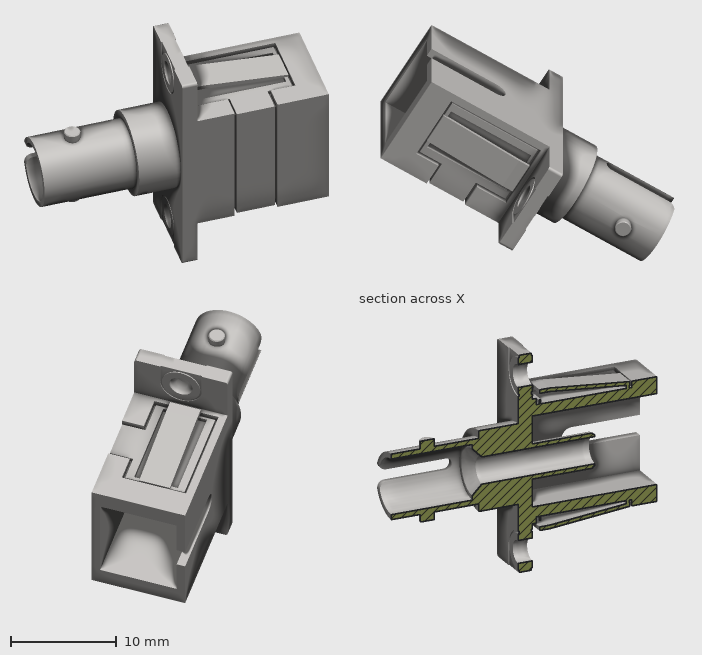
import cadquery as cq


total_length = 27.7
width = 9.28
flange_height = 22.24

collar_front = 9.1
flange_front = 13.2
flange_back = 14.7

flange_corner_radius = 0.28
mount_spacing = 17.97
mount_hole_diameter = 2.3
seat_width = 4.13
seat_depth = 0.097
seat_ring_diameter = 3.8

collar_diameter = 8.3
barrel_diameter = 6.75
bore_diameter = 5.65
bore_depth = 8.45
through_hole_diameter = 2.75
cone_diameter = 4.75
cone_depth = 1.0

keyway_width = 1.25
keyway_length = 7.61
keyway_mouth_radius = 0.78

pin_diameter = 1.55
pin_position = 3.77
pin_chamfer = 0.08

body_height = 12.8
cavity_width = 7.6
cavity_height = 9.25
key_slot_width = 2.08
key_slot_length = 8.17
sleeve_diameter = 3.65
sleeve_end = 21.25
sleeve_chamfer = 0.3

recess_left = -3.88
recess_right = 2.5
recess_front = 15.15
recess_back = 25.05
band_front = 18.4
band_back = 22.62
recess_depth = 0.65
band_depth = 0.5

clip_gap = 0.25
clip_thickness = 0.42
window_left = -2.88
window_right = 1.47
window_front = 15.62
window_back = 24.48
finger_left = -2.22
finger_right = 0.83
finger_tip = 15.45
finger_knee = 16.55
finger_root = 24.9
finger_rise = 0.817

body_top = body_height / 2
body_side = width / 2


def block(x_range, y_range, z_range):
    """Box given by its lower and upper limit along each axis."""
    (x0, x1), (y0, y1), (z0, z1) = x_range, y_range, z_range
    return cq.Workplane("XY").box(x1 - x0, y1 - y0, z1 - z0, centered=False).translate((x0, y0, z0))


def centred_block(x_size, y_range, z_size):
    """Box centred on the barrel axis."""
    return block((-x_size / 2, x_size / 2), y_range, (-z_size / 2, z_size / 2))


def rod(diameter, y_start, y_end, z=0):
    """Round bar parallel to the barrel axis."""
    bar = cq.Workplane("XZ").circle(diameter / 2).extrude(y_start - y_end)
    return bar.translate((0, y_start, z))


def add_mirrored(shape):
    """The shape together with its copy on the -Z side."""
    return shape.union(shape.mirror("XY"))


def mount_seat():
    """Mounting hole inside a raised ring, with a shallow U-shaped recess round the ring on each face."""
    hole_z = mount_spacing / 2
    top = flange_height / 2
    front_range = (flange_front, flange_front + seat_depth)
    back_range = (flange_back - seat_depth, flange_back)
    seat = cq.Workplane("XY")
    for y_range in (front_range, back_range):
        seat = seat.union(rod(seat_width, *y_range, z=hole_z))
        seat = seat.union(block((-seat_width / 2, seat_width / 2), y_range, (hole_z, top)))
    seat = seat.cut(rod(seat_ring_diameter, flange_front, flange_back, hole_z))
    return seat.union(rod(mount_hole_diameter, flange_front, flange_back, hole_z))


def flange():
    plate = centred_block(width, (flange_front, flange_back), flange_height)
    plate = plate.edges("|Y").fillet(flange_corner_radius)
    return plate.cut(add_mirrored(mount_seat()))


def keyway():
    """Slot with a round inner end and a mouth that flares out at the barrel tip."""
    half = keyway_width / 2
    flare = half + keyway_mouth_radius
    return (
        cq.Workplane("YZ")
        .moveTo(0, -flare)
        .radiusArc((keyway_mouth_radius, -half), keyway_mouth_radius)
        .lineTo(keyway_length - half, -half)
        .threePointArc((keyway_length, 0), (keyway_length - half, half))
        .lineTo(keyway_mouth_radius, half)
        .radiusArc((0, flare), keyway_mouth_radius)
        .close()
        .extrude(-barrel_diameter)
    )


def pins():
    """Radial bayonet pins above and below, reaching out to the collar diameter."""
    root = (barrel_diameter + bore_diameter) / 4
    pin = (
        cq.Workplane("XY", origin=(0, pin_position, root))
        .circle(pin_diameter / 2)
        .extrude(collar_diameter / 2 - root)
        .faces(">Z")
        .chamfer(pin_chamfer)
    )
    return add_mirrored(pin)


def barrel():
    tube = rod(barrel_diameter, 0, collar_front).cut(rod(bore_diameter, 0, bore_depth))
    collar = rod(collar_diameter, collar_front, flange_front)
    return tube.cut(keyway()).union(collar).union(pins())


def socket_body():
    body = centred_block(width, (flange_back, total_length), body_height)
    cavity = centred_block(cavity_width, (flange_back, total_length), cavity_height)
    slot_start = total_length - key_slot_length
    slot_centre = slot_start + key_slot_width / 2
    key_slot = block(
        (-body_side, -cavity_width / 2),
        (slot_centre, total_length),
        (-key_slot_width / 2, key_slot_width / 2),
    )
    round_end = (
        cq.Workplane("YZ", origin=(-body_side, slot_centre, 0))
        .circle(key_slot_width / 2)
        .extrude(body_side - cavity_width / 2)
    )
    sleeve = rod(sleeve_diameter, flange_back, sleeve_end).faces(">Y").chamfer(sleeve_chamfer)
    return body.cut(cavity).cut(key_slot).cut(round_end).union(sleeve)


def clip_recess():
    x_range = (recess_left, recess_right)
    z_range = (body_top - recess_depth, body_top)
    panel = block(x_range, (recess_front, recess_back), z_range)
    arm = block((recess_left, body_side), (band_front, band_back), z_range)
    band = block((body_side - band_depth, body_side), (band_front, band_back), (-body_top, body_top))
    return add_mirrored(panel.union(arm)).union(band)


def spring_finger():
    """Bent strip rising from the body surface toward the flange, with a level tip."""
    root_z = body_top
    tip_z = body_top + finger_rise
    return (
        cq.Workplane("YZ", origin=(finger_left, 0, 0))
        .polyline([
            (finger_root, root_z),
            (finger_knee, tip_z),
            (finger_tip, tip_z),
            (finger_tip, tip_z - clip_thickness),
            (finger_knee, tip_z - clip_thickness),
            (finger_root, root_z - clip_thickness),
        ])
        .close()
        .extrude(finger_right - finger_left)
    )


def spring_clip():
    panel_top = body_top - recess_depth + clip_thickness
    z_range = (body_top - recess_depth, panel_top)
    band_floor = body_side - band_depth
    band_face = band_floor + clip_thickness
    y_range = (band_front + clip_gap, band_back - clip_gap)
    panel = block(
        (recess_left + clip_gap, recess_right - clip_gap),
        (recess_front + clip_gap, recess_back - clip_gap),
        z_range,
    )
    arm = block((recess_left + clip_gap, band_face), y_range, z_range)
    window = block((window_left, window_right), (window_front, window_back), z_range)
    side = panel.union(arm).cut(window).union(spring_finger())
    band = block((band_floor, band_face), y_range, (-panel_top, panel_top))
    return add_mirrored(side).union(band)


def light_path():
    """Hole along the whole axis, with a conical lead-in at the bottom of the barrel bore."""
    cone = (
        cq.Workplane("XY")
        .moveTo(0, bore_depth)
        .lineTo(cone_diameter / 2, bore_depth)
        .lineTo(through_hole_diameter / 2, bore_depth + cone_depth)
        .lineTo(0, bore_depth + cone_depth)
        .close()
        .revolve(360, (0, 0, 0), (0, 1, 0))
    )
    return rod(through_hole_diameter, 0, total_length).union(cone)


housing = socket_body().cut(clip_recess()).union(flange()).union(barrel())
result = housing.union(spring_clip()).cut(light_path())